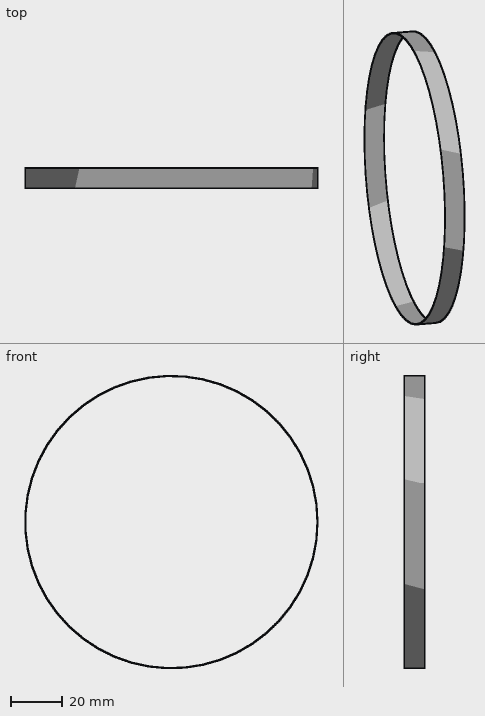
import cadquery as cq

outer_diameter = 114.17
wall_thickness = 0.25
band_width = 8.0

outer_radius = outer_diameter / 2
inner_radius = outer_radius - wall_thickness


def make_band():
    """Plain ring centred on the origin, extruded from one end face to the other."""
    end_face = cq.Workplane("XZ", origin=(0, band_width / 2, 0))
    return end_face.circle(outer_radius).circle(inner_radius).extrude(band_width)


result = make_band()